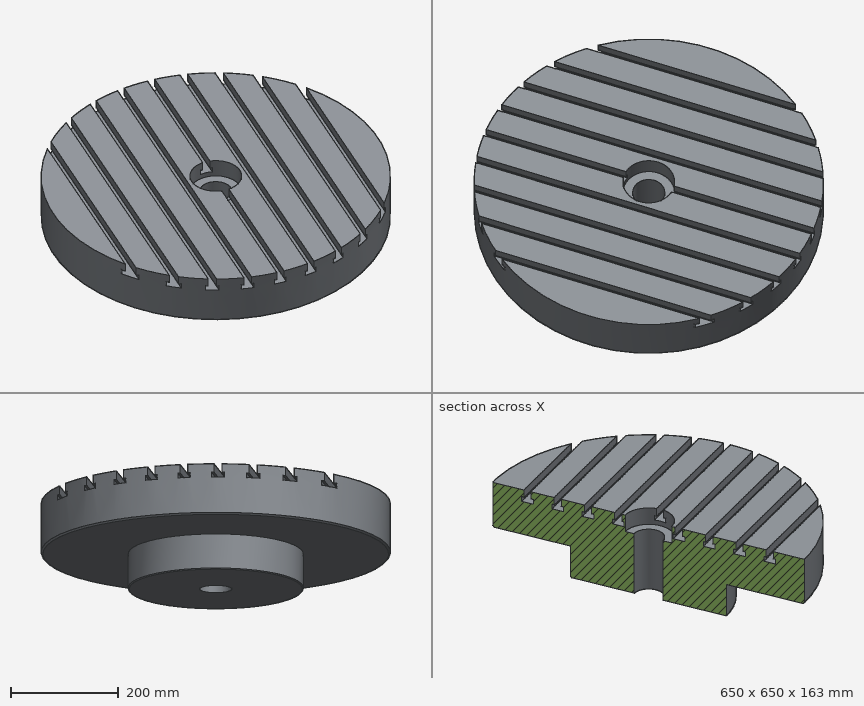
import cadquery as cq

plate_diameter = 650.0
plate_thickness = 96.0
plate_chamfer = 3.0

total_height = 163.0
boss_diameter = 326.5
boss_height = total_height - plate_thickness
boss_chamfer = 2.0

bore_diameter = 60.0
counterbore_diameter = 96.0
counterbore_depth = 35.0

slot_count = 9
slot_pitch = 63.0
slot_depth = 25.5
neck_width = 14.0
foot_width = 23.5
foot_height = 9.0


def make_body():
    """Plate with its top face at total_height, standing on the boss."""
    boss = (
        cq.Workplane("XY")
        .circle(boss_diameter / 2)
        .extrude(boss_height)
        .faces("<Z")
        .chamfer(boss_chamfer)
    )
    plate = (
        cq.Workplane("XY", origin=(0, 0, boss_height))
        .circle(plate_diameter / 2)
        .extrude(plate_thickness)
        .faces("<Z")
        .chamfer(plate_chamfer)
    )
    return plate.union(boss)


def make_t_slot(y):
    """Cutter for one T-slot centred at y, as long as the plate diameter."""
    floor = total_height - slot_depth
    neck = cq.Workplane("XY", origin=(0, y, floor)).box(
        plate_diameter, neck_width, slot_depth, centered=(True, True, False)
    )
    foot = cq.Workplane("XY", origin=(0, y, floor)).box(
        plate_diameter, foot_width, foot_height, centered=(True, True, False)
    )
    return neck.union(foot)


result = make_body()
for index in range(slot_count):
    slot_y = (index - (slot_count - 1) / 2) * slot_pitch
    result = result.cut(make_t_slot(slot_y))

result = result.faces(">Z").workplane(origin=(0, 0, total_height)).cboreHole(
    bore_diameter, counterbore_diameter, counterbore_depth
)